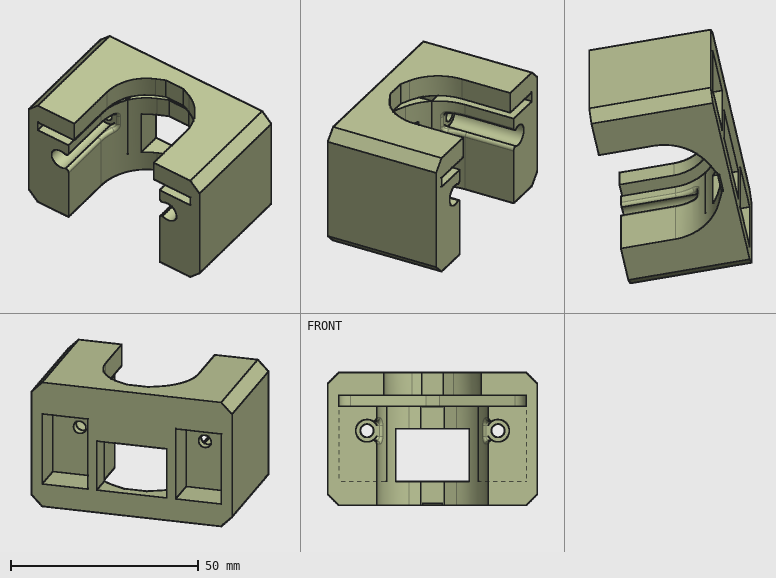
import cadquery as cq
import math

LENGTH = 56.0
DEPTH = 33.05
HEIGHT = 35.5
EDGE_CHAMFER = 3.0
MARGIN = 0.05

BORE_CENTRE_Y = 14.85
LIP_BORE_RADIUS = 13.0
BODY_BORE_RADIUS = 14.9
BORE_FACET_ANGLE = 25.0
BODY_FLAT_HALF_WIDTH = 3.15
LIP_FLAT_HALF_WIDTH = 2.9

SLOT_BOTTOM = 26.5
SLOT_TOP = 29.35
SLOT_HALF_WIDTH = 25.0
SLOT_CORNER_RADIUS = 3.7
SLOT_BACK_Y = 31.9
SLOT_BACK_HALF_WIDTH = 1.8
SLOT_BACK_ANGLE = 11.0

WINDOW_HALF_WIDTH = 9.75
WINDOW_BOTTOM = 6.45
WINDOW_TOP = 20.45
POCKET_INNER_X = 12.25
POCKET_FRONT_Y = 23.45

SCREW_X = 17.5
SCREW_Z = 19.95
SCREW_HOLE_DIAMETER = 3.5
CHANNEL_DIAMETER = 6.0
CHANNEL_DEPTH = 21.0
CHANNEL_OPENING_HEIGHT = 5.05
OPENING_FILLET = 1.0
RIM_SPAN_X = 1.7

BOTTOM_BEVEL = 0.55
SLOT_BEVEL = 0.15
BEVEL_HALF_WIDTH = 2.65


def box(x_min, x_max, y_min, y_max, z_min, z_max):
    """Axis-aligned box given by its limits."""
    size = (x_max - x_min, y_max - y_min, z_max - z_min)
    return cq.Workplane("XY").box(*size, centered=False).translate((x_min, y_min, z_min))


def bore_back_y(radius, flat_half_width):
    """Y of the flat back, where the tangent facets have closed in to its width."""
    angle = math.radians(BORE_FACET_ANGLE)
    return BORE_CENTRE_Y + (radius - flat_half_width * math.sin(angle)) / math.cos(angle)


def u_bore(radius, flat_half_width, z_min, z_max):
    """U-shaped cutter: straight sides, arcs, tangent facets and a flat back."""
    def arc_point(degrees):
        angle = math.radians(degrees)
        return radius * math.sin(angle), BORE_CENTRE_Y + radius * math.cos(angle)

    mid_angle = (90 + BORE_FACET_ANGLE) / 2
    back_y = bore_back_y(radius, flat_half_width)
    return (
        cq.Workplane("XY", origin=(0, 0, z_min))
        .moveTo(-radius, 0)
        .lineTo(radius, 0)
        .lineTo(radius, BORE_CENTRE_Y)
        .threePointArc(arc_point(mid_angle), arc_point(BORE_FACET_ANGLE))
        .lineTo(flat_half_width, back_y)
        .lineTo(-flat_half_width, back_y)
        .lineTo(*arc_point(-BORE_FACET_ANGLE))
        .threePointArc(arc_point(-mid_angle), (-radius, BORE_CENTRE_Y))
        .close()
        .extrude(z_max - z_min)
    )


def plate_slot():
    """Plate slot with a shallow V back and rounded back corners."""
    slope = math.tan(math.radians(SLOT_BACK_ANGLE))
    corner_y = SLOT_BACK_Y - slope * (SLOT_HALF_WIDTH - SLOT_BACK_HALF_WIDTH)
    slot = (
        cq.Workplane("XY", origin=(0, 0, SLOT_BOTTOM))
        .moveTo(-SLOT_HALF_WIDTH, 0)
        .lineTo(SLOT_HALF_WIDTH, 0)
        .lineTo(SLOT_HALF_WIDTH, corner_y)
        .lineTo(SLOT_BACK_HALF_WIDTH, SLOT_BACK_Y)
        .lineTo(-SLOT_BACK_HALF_WIDTH, SLOT_BACK_Y)
        .lineTo(-SLOT_HALF_WIDTH, corner_y)
        .close()
        .extrude(SLOT_TOP - SLOT_BOTTOM)
    )
    corners = cq.selectors.BoxSelector(
        (-LENGTH, corner_y - MARGIN, 0), (LENGTH, corner_y + MARGIN, HEIGHT)
    )
    return slot.edges("|Z").edges(corners).fillet(SLOT_CORNER_RADIUS)


def cylinder_along_y(diameter, x, length):
    """Cylinder from the front face backwards at the screw height."""
    return (
        cq.Workplane("XZ", origin=(x, 0, SCREW_Z)).circle(diameter / 2).extrude(-length)
    )


def channel_opening(side):
    """Round-ended opening from a screw channel sideways into the body bore."""
    half = CHANNEL_OPENING_HEIGHT / 2
    opening = box(0, SCREW_X, 0, CHANNEL_DEPTH, SCREW_Z - half, SCREW_Z + half)
    opening = opening.edges(">Y and |X").fillet(OPENING_FILLET)
    return opening if side > 0 else opening.mirror("YZ")


def round_channel_rim(solid, side):
    """Round the rim where a channel opening breaks into the body bore."""
    half = CHANNEL_OPENING_HEIGHT / 2 + MARGIN
    x_limits = sorted((side * (BODY_BORE_RADIUS - RIM_SPAN_X), side * (BODY_BORE_RADIUS + MARGIN)))
    rim = cq.selectors.BoxSelector(
        (x_limits[0], -MARGIN, SCREW_Z - half),
        (x_limits[1], CHANNEL_DEPTH + MARGIN, SCREW_Z + half),
        boundingbox=True,
    )
    return solid.edges("not |X").edges(rim).fillet(OPENING_FILLET)


def flat_bevel(z, height):
    """45 degree wedge into the flat back of the body bore, rising from z by a signed height."""
    y = bore_back_y(BODY_BORE_RADIUS, BODY_FLAT_HALF_WIDTH)
    return (
        cq.Workplane("YZ", origin=(-BEVEL_HALF_WIDTH, 0, 0))
        .polyline([(y, z), (y + abs(height), z), (y, z + height)])
        .close()
        .extrude(2 * BEVEL_HALF_WIDTH)
    )


def back_pocket(side):
    """Pocket from the back face around a screw hole, open upwards into the plate slot."""
    x_limits = sorted((side * POCKET_INNER_X, side * SLOT_HALF_WIDTH))
    return box(*x_limits, POCKET_FRONT_Y, DEPTH, WINDOW_BOTTOM, SLOT_BOTTOM)


body = box(-LENGTH / 2, LENGTH / 2, 0, DEPTH, 0, HEIGHT).edges("|Y").chamfer(EDGE_CHAMFER)
body = body.cut(u_bore(BODY_BORE_RADIUS, BODY_FLAT_HALF_WIDTH, 0, SLOT_BOTTOM))
body = body.cut(u_bore(LIP_BORE_RADIUS, LIP_FLAT_HALF_WIDTH, SLOT_BOTTOM, HEIGHT))

for side in (-1, 1):
    body = round_channel_rim(body.cut(channel_opening(side)), side)
    body = body.cut(cylinder_along_y(CHANNEL_DIAMETER, side * SCREW_X, CHANNEL_DEPTH))
    body = body.cut(cylinder_along_y(SCREW_HOLE_DIAMETER, side * SCREW_X, DEPTH))
    body = body.cut(back_pocket(side))

body = body.cut(plate_slot())
body = body.cut(
    box(-WINDOW_HALF_WIDTH, WINDOW_HALF_WIDTH, BORE_CENTRE_Y, DEPTH, WINDOW_BOTTOM, WINDOW_TOP)
)
body = body.cut(flat_bevel(0, BOTTOM_BEVEL)).cut(flat_bevel(SLOT_BOTTOM, -SLOT_BEVEL))

result = body